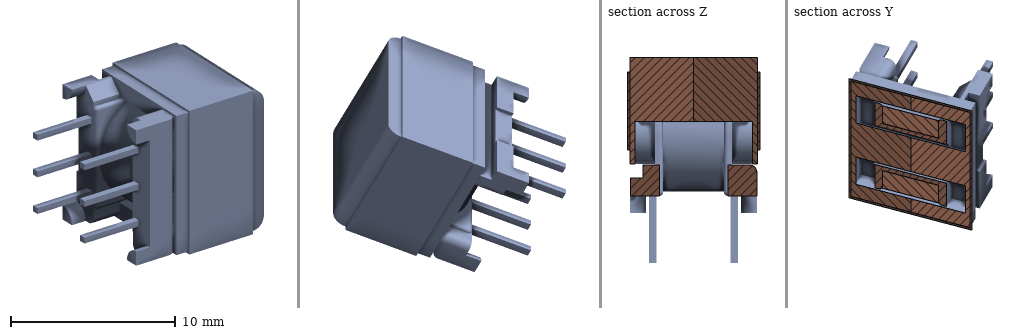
import cadquery as cq


OVERALL_DEPTH = 12.54

CORE_WIDTH = 7.81
CORE_HEIGHT = 9.48
CORE_BACK = 4.69
CORE_FRONT = -1.83
CORE_BACK_RADIUS = 0.8
CORE_END_WALL = 0.34
CAVITY_RADIUS = 3.6
POST_RADIUS = 1.69

TAPE_WIDTH = 8.08
TAPE_HEIGHT = 9.78
TAPE_BACK = 3.8
TAPE_FRONT = -0.97

BORE_RADIUS = 1.82
TUBE_RADIUS = 2.12
FLANGE_RADIUS = 3.51
FLANGE_INNER_X = 1.84
FLANGE_OUTER_X = 2.36
FLANGE_EDGE_RADIUS = 0.25

RAIL_INNER_X = 2.07
RAIL_OUTER_X = 3.86
RAIL_HEIGHT = 9.22
RAIL_BACK = -1.85
RAIL_FRONT = -3.79
RAIL_CORNER_RADIUS = 0.51
RAIL_CHAMFER = 0.79
RIGHT_OUTER_RADIUS = 0.5
RECESS_X = 3.11
RECESS_FRONT = -2.66
NOTCH_DEPTH = 0.23
NOTCH_HEIGHT = 3.2
FOOT_RADIUS = 0.97
FOOT_FRONT = -4.82

PIN_X = 2.47
PINS_PER_RAIL = 3
PIN_PITCH = 2.5
PIN_WIDTH = 0.45
PIN_HEIGHT = 0.4
PIN_TIP = CORE_BACK - OVERALL_DEPTH

LEFT = -1
RIGHT = 1


def block(x_range, y_range, z_range):
    """Axis-aligned box between the given limits, each pair in either order."""
    spans = [sorted(x_range), sorted(y_range), sorted(z_range)]
    sizes = [high - low for low, high in spans]
    corner = [low for low, high in spans]
    return cq.Workplane("XY").box(*sizes, centered=False).translate(tuple(corner))


def centered_span(size):
    return (-size / 2, size / 2)


def x_cylinder(radius, half_length):
    return cq.Workplane("YZ", origin=(-half_length, 0, 0)).circle(radius).extrude(2 * half_length)


def d_shape(radius, front, half_length):
    """Half-round at the back and straight sides that run to a flat front, along X."""
    return (
        cq.Workplane("YZ", origin=(-half_length, 0, 0))
        .moveTo(front, -radius)
        .lineTo(0, -radius)
        .threePointArc((radius, 0), (0, radius))
        .lineTo(front, radius)
        .close()
        .extrude(2 * half_length)
    )


def core_envelope():
    return block(
        centered_span(CORE_WIDTH),
        (CORE_FRONT, CORE_BACK),
        centered_span(CORE_HEIGHT),
    )


def make_core_half(side):
    """One half of the core: a rounded block with a cavity open at the front and a round post."""
    cavity_half_length = CORE_WIDTH / 2 - CORE_END_WALL
    core = core_envelope().edges(">Y and |X").fillet(CORE_BACK_RADIUS)
    core = core.cut(d_shape(CAVITY_RADIUS, CORE_FRONT, cavity_half_length))
    core = core.union(x_cylinder(POST_RADIUS, cavity_half_length))
    half_space = block(
        (0, side * CORE_WIDTH / 2),
        (CORE_FRONT, CORE_BACK),
        centered_span(CORE_HEIGHT),
    )
    return core.intersect(half_space)


def make_tape():
    """Rectangular band that fits closely around both core halves."""
    band = block(
        centered_span(TAPE_WIDTH),
        (TAPE_FRONT, TAPE_BACK),
        centered_span(TAPE_HEIGHT),
    )
    return band.cut(core_envelope())


def make_winding():
    """Coil that fills the space between the flanges, around the bobbin tube."""
    coil = x_cylinder(FLANGE_RADIUS, FLANGE_INNER_X)
    return coil.cut(x_cylinder(TUBE_RADIUS, FLANGE_INNER_X))


def make_flanged_tube():
    """Tube with a D-shaped flange at each end, rounded around its winding-side edge."""
    tube = x_cylinder(TUBE_RADIUS, FLANGE_OUTER_X)
    thickness = FLANGE_OUTER_X - FLANGE_INNER_X
    center_x = FLANGE_INNER_X + thickness / 2
    flange = d_shape(FLANGE_RADIUS, RAIL_FRONT, thickness / 2)
    flange = flange.edges("<Y and |X").fillet(FLANGE_EDGE_RADIUS)
    right_flange = flange.faces("<X").edges().fillet(FLANGE_EDGE_RADIUS).translate((center_x, 0, 0))
    left_flange = right_flange.mirror("YZ")
    bore = x_cylinder(BORE_RADIUS, FLANGE_OUTER_X)
    return tube.union(left_flange).union(right_flange).cut(bore)


def rail_block(side):
    return block(
        (side * RAIL_INNER_X, side * RAIL_OUTER_X),
        (RAIL_FRONT, RAIL_BACK),
        centered_span(RAIL_HEIGHT),
    )


def make_feet(side):
    """Two quarter-round standoff feet at the outer corners of a rail."""
    corners = (
        cq.Workplane("XZ", origin=(0, RAIL_FRONT, 0))
        .pushPoints([(side * RAIL_OUTER_X, z) for z in centered_span(RAIL_HEIGHT)])
        .circle(FOOT_RADIUS)
        .extrude(RAIL_FRONT - FOOT_FRONT)
    )
    inside_rail_outline = block(
        (side * RAIL_INNER_X, side * RAIL_OUTER_X),
        (FOOT_FRONT, RAIL_FRONT),
        centered_span(RAIL_HEIGHT),
    )
    return corners.intersect(inside_rail_outline)


def make_right_rail():
    rail = rail_block(RIGHT)
    rail = rail.edges("<X and |Y").fillet(RAIL_CORNER_RADIUS)
    rail = rail.edges(">X and >Y").fillet(RIGHT_OUTER_RADIUS)
    return rail.union(make_feet(RIGHT))


def make_left_rail():
    """Rail with a chamfer that marks pin 1, a stepped back and a notch in its outer side."""
    rail = rail_block(LEFT)
    rail = rail.edges(">X and >Z and |Y").chamfer(RAIL_CHAMFER)
    rail = rail.edges(">X and <Z and |Y").fillet(RAIL_CORNER_RADIUS)
    back_step = block(
        (-RAIL_OUTER_X, -RECESS_X),
        (RECESS_FRONT, RAIL_BACK),
        centered_span(RAIL_HEIGHT),
    )
    notch = block(
        (-RAIL_OUTER_X, -RAIL_OUTER_X + NOTCH_DEPTH),
        (RAIL_FRONT, RECESS_FRONT),
        centered_span(NOTCH_HEIGHT),
    )
    return rail.cut(back_step).cut(notch).union(make_feet(LEFT))


def make_pins():
    """Three straight square-cut pins on each rail."""
    return (
        cq.Workplane("XZ", origin=(0, RAIL_FRONT, 0))
        .rarray(2 * PIN_X, PIN_PITCH, 2, PINS_PER_RAIL)
        .rect(PIN_WIDTH, PIN_HEIGHT)
        .extrude(RAIL_FRONT - PIN_TIP)
    )


def make_bobbin():
    """Bobbin in one piece: flanged tube, rails with feet, and the moulded-in pins."""
    bobbin = make_flanged_tube()
    bobbin = bobbin.union(make_left_rail())
    bobbin = bobbin.union(make_right_rail())
    return bobbin.union(make_pins())


core_halves = [make_core_half(side) for side in (LEFT, RIGHT)]
tape = make_tape()
winding = make_winding()
bobbin = make_bobbin()

result = cq.Compound.makeCompound(
    [half.val() for half in core_halves] + [tape.val(), winding.val(), bobbin.val()]
)